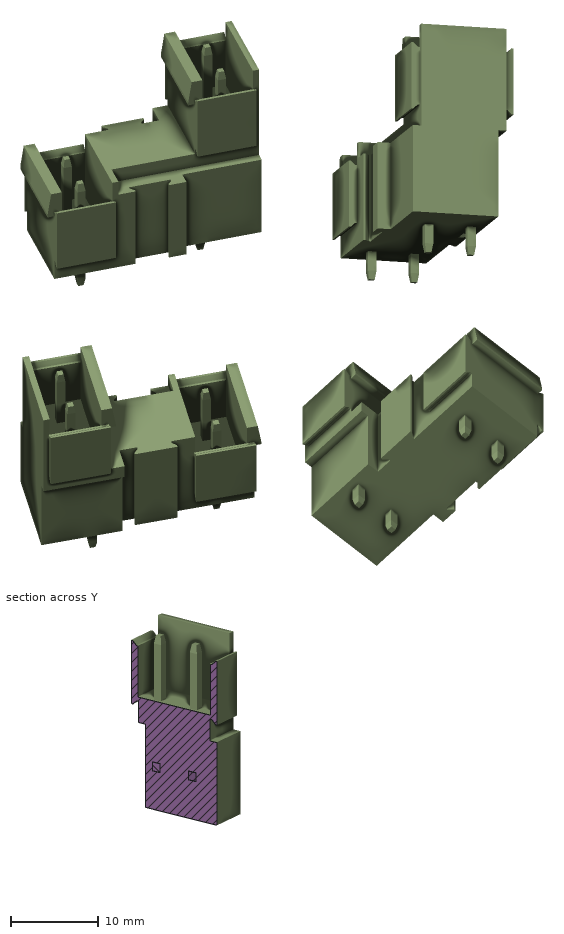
import cadquery as cq

overall_length = 26.28
pitch = 5.07
tower_width = 2 * pitch
tower_height = 11.95
lip_overhang = 0.81

upper_shift_x = -pitch / 2
upper_shift_y = 3.5 * pitch
upper_shift_z = 2 * pitch
tower_depth = overall_length - lip_overhang - upper_shift_y

front_wall = 0.9
back_wall = 0.74
pocket_floor = 3.15

lip_height = 3.15
lip_edge_height = 0.4
lip_top_overhang = 0.4

dovetail_reach = 1.0
dovetail_neck = 0.25
dovetail_flare = 0.5
side_wall_height = 7.78
side_wall_depth = 7.1
coupling_length = 5.02

bridge_back = 15.9
rear_left = upper_shift_x + dovetail_reach
housing_back = upper_shift_y + tower_depth
bridge_right = upper_shift_x + tower_width

pin_side = 1.0
pin_tip_side = 0.65
pin_taper = 1.0
pin_tail = 3.25
pin_recess = 0.95
pin_y = 3.92
rear_tail_shift_y = 3 * pitch
rear_jog_z = 5.25
pin_columns = (pitch / 2, 3 * pitch / 2)


def box_between(x0, x1, y0, y1, z0, z1):
    return cq.Workplane("XY").box(x1 - x0, y1 - y0, z1 - z0, centered=False).translate((x0, y0, z0))


def dovetail_points(length, centre):
    """Outline of a dovetail that points to -X from the line x = 0."""
    tip = length / 2
    waist = tip - dovetail_flare
    flare_end = -dovetail_neck - dovetail_flare
    half = [(0, waist), (-dovetail_neck, waist), (flare_end, tip), (-dovetail_reach, tip)]
    mirrored = [(x, -v) for x, v in reversed(half)]
    return [(x, v + centre) for x, v in half + mirrored]


def side_wall():
    """Left dovetail wall of a tower, running along Y from the front face."""
    outline = dovetail_points(side_wall_height, tower_height / 2)
    return cq.Workplane("XZ").polyline(outline).close().extrude(-side_wall_depth)


def latch_lip():
    lip_bottom = tower_height - lip_height
    outline = [
        (0, tower_height),
        (-lip_top_overhang, tower_height),
        (-lip_overhang, lip_bottom + lip_edge_height),
        (-lip_overhang, lip_bottom),
        (0, lip_bottom),
    ]
    return cq.Workplane("YZ").polyline(outline).close().extrude(tower_width)


def tower():
    """Open-topped shroud with dovetail side walls and a latch lip."""
    left_wall = side_wall()
    right_wall = left_wall.mirror("YZ").translate((tower_width, 0, 0))
    pocket = box_between(0, tower_width, front_wall, tower_depth - back_wall, pocket_floor, tower_height)
    body = box_between(0, tower_width, 0, tower_depth, 0, tower_height).cut(pocket)
    return body.union(latch_lip()).union(left_wall).union(right_wall)


def base():
    """Bridge, deck and rear block that carry the two towers."""
    bridge = box_between(0, tower_width, tower_depth, bridge_back, 0, upper_shift_z)
    deck = box_between(0, bridge_right, tower_depth, bridge_back, upper_shift_z, tower_height)
    shelf = box_between(upper_shift_x, bridge_right, bridge_back, upper_shift_y, upper_shift_z, tower_height)
    rear_block = box_between(rear_left, rear_left + tower_width, bridge_back, housing_back, 0, upper_shift_z)
    return bridge.union(deck).union(shelf).union(rear_block)


def coupling_rib():
    """Upright dovetail on the left side that fits the groove of a neighbour."""
    outline = dovetail_points(coupling_length, (tower_depth + bridge_back) / 2)
    return cq.Workplane("XY").polyline(outline).close().extrude(tower_height)


def make_housing():
    upper_tower = tower().translate((upper_shift_x, upper_shift_y, upper_shift_z))
    groove = coupling_rib().translate((tower_width, 0, 0))
    return tower().union(base()).union(upper_tower).cut(groove).union(coupling_rib())


def pin_end(start_z, direction):
    """Tapered tip on the pin axis, pointing up (+1) or down (-1)."""
    end = cq.Workplane("XY").rect(pin_side, pin_side).workplane(offset=direction * pin_taper)
    return end.rect(pin_tip_side, pin_tip_side).loft(ruled=True).translate((0, 0, start_z))


def pin_shaft(bottom, top):
    return cq.Workplane("XY").rect(pin_side, pin_side).extrude(top - bottom).translate((0, 0, bottom))


tail_shoulder = pin_taper - pin_tail
head_shoulder = tower_height - pin_recess - pin_taper


def front_pin(x):
    """Straight pin of the lower tower."""
    pin = pin_shaft(tail_shoulder, head_shoulder)
    pin = pin.union(pin_end(tail_shoulder, -1)).union(pin_end(head_shoulder, 1))
    return pin.translate((x, pin_y, 0))


def rear_pin(x):
    """Cranked pin of the upper tower, its head set back from its tail."""
    head_shift = upper_shift_y - rear_tail_shift_y
    jog_bottom = rear_jog_z - pin_side / 2
    jog_top = rear_jog_z + pin_side / 2
    upper_shoulder = head_shoulder + upper_shift_z
    tail = pin_shaft(tail_shoulder, jog_top).union(pin_end(tail_shoulder, -1))
    head = pin_shaft(jog_bottom, upper_shoulder).union(pin_end(upper_shoulder, 1))
    jog = box_between(-pin_side / 2, pin_side / 2, 0, head_shift, jog_bottom, jog_top)
    pin = tail.union(jog).union(head.translate((0, head_shift, 0)))
    return pin.translate((x + upper_shift_x, pin_y + rear_tail_shift_y, 0))


front_pins = [front_pin(x) for x in pin_columns]
rear_pins = [rear_pin(x) for x in pin_columns]

housing = make_housing()
for pin in front_pins + rear_pins:
    housing = housing.cut(pin)

result = cq.Compound.makeCompound([housing.val()] + [pin.val() for pin in front_pins + rear_pins])